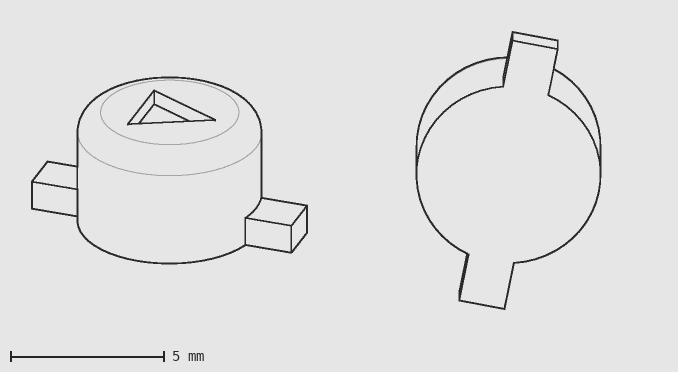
import cadquery as cq

overall_length = 9.0
body_diameter = 6.0
body_height = 4.0
rim_radius = 0.75
lead_width = 1.5
lead_height = 1.0

mark_base_x = -0.99
mark_tip_x = 1.59
mark_half_width = 1.25
mark_depth = 0.5


def make_body():
    """Round body with a rounded top rim."""
    body = cq.Workplane("XY").circle(body_diameter / 2).extrude(body_height)
    return body.faces(">Z").edges().fillet(rim_radius)


def make_leads():
    """One straight bar through the body forms the lead on each side."""
    return cq.Workplane("XY").rect(overall_length, lead_width).extrude(lead_height)


def make_mark():
    """Triangular prism to cut down from the top face."""
    corners = [
        (mark_base_x, -mark_half_width),
        (mark_tip_x, 0),
        (mark_base_x, mark_half_width),
    ]
    return cq.Workplane("XY").workplane(offset=body_height).polyline(corners).close().extrude(-mark_depth)


result = make_body().union(make_leads()).cut(make_mark())